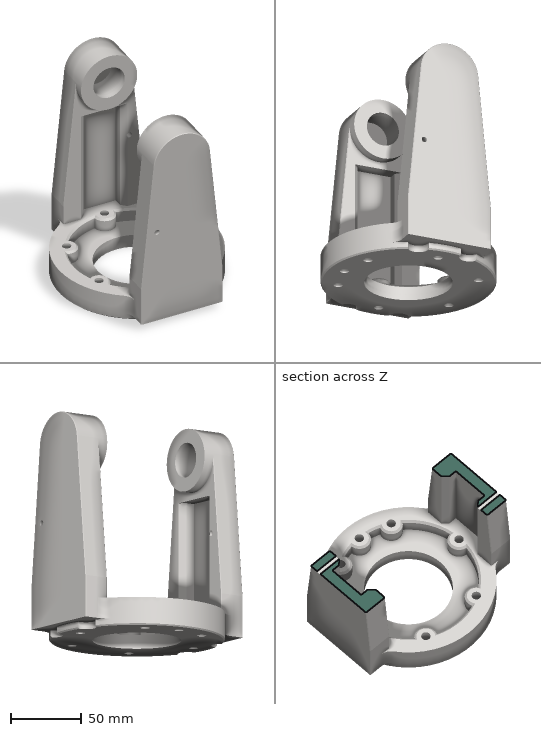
import cadquery as cq
import math

overall_width = 139.0

ring_diameter = 125.0
ring_height = 20.0
ring_bottom_chamfer = 1.0
center_hole_diameter = 63.0
pocket_diameter = 100.0
pocket_depth = 10.0
pocket_edge_chamfer = 1.5

screw_circle_radius = 50.0
screw_angles = (0, 60, 90, 120, 180, 240, 300)
screw_hole_diameter = 6.65
screw_boss_diameter = 16.5

arm_thickness = 19.0
arm_width = 65.0
arm_bottom = 5.0
taper_start = 35.0
arm_edge_chamfer = 0.5
root_fillet_radius = 10.0

pivot_height = 135.0
pivot_diameter = 45.0
pivot_length = 26.5
pivot_bore_diameter = 25.0
pivot_bore_depth = 20.0

channel_mouth_width = 37.0
channel_chamfer = 4.0
channel_depth = 10.5
channel_top = 107.5

cross_hole_diameter = 4.0
cross_hole_offset = 20.0
cross_hole_height = 80.0

scallop_diameter = 15.0
scallop_x = 60.0
scallop_y = 20.0

ring_radius = ring_diameter / 2
pivot_radius = pivot_diameter / 2
arm_half_width = arm_width / 2
outer_face_x = overall_width / 2
inner_face_x = outer_face_x - arm_thickness
pivot_face_x = outer_face_x - pivot_length
pocket_floor = ring_height - pocket_depth
chamfer_start = ring_height - pocket_edge_chamfer


def flared_cylinder(radius, top_radius):
    """Cylinder over the pocket depth whose top edge flares or tapers to top_radius."""
    return (
        cq.Workplane("XZ")
        .moveTo(0, pocket_floor)
        .lineTo(radius, pocket_floor)
        .lineTo(radius, chamfer_start)
        .lineTo(top_radius, ring_height)
        .lineTo(0, ring_height)
        .close()
        .revolve(360, (0, 0, 0), (0, 1, 0))
    )


def screw_positions():
    """Screw hole centres on the bolt circle."""
    return [
        (
            screw_circle_radius * math.cos(math.radians(angle)),
            screw_circle_radius * math.sin(math.radians(angle)),
        )
        for angle in screw_angles
    ]


def make_ring():
    """Plain base ring with a chamfered bottom edge."""
    return (
        cq.Workplane("XY")
        .circle(ring_radius)
        .extrude(ring_height)
        .faces("<Z")
        .edges()
        .chamfer(ring_bottom_chamfer)
    )


def make_pocket():
    """Pocket volume that leaves the screw bosses standing."""
    pocket_radius = pocket_diameter / 2
    boss_radius = screw_boss_diameter / 2
    pocket = flared_cylinder(pocket_radius, pocket_radius + pocket_edge_chamfer)
    boss = flared_cylinder(boss_radius, boss_radius - pocket_edge_chamfer)
    for x, y in screw_positions():
        pocket = pocket.cut(boss.translate((x, y, 0)))
    return pocket


def make_arm_plate():
    """Arm at +X: straight foot, then sides tapering tangentially into a round top."""
    rise = pivot_height - taper_start
    corner_distance = math.hypot(arm_half_width, rise)
    tangent_angle = math.acos(pivot_radius / corner_distance) - math.atan2(rise, arm_half_width)
    tangent_y = pivot_radius * math.cos(tangent_angle)
    tangent_z = pivot_height + pivot_radius * math.sin(tangent_angle)
    return (
        cq.Workplane("YZ", origin=(inner_face_x, 0, 0))
        .moveTo(-arm_half_width, arm_bottom)
        .lineTo(arm_half_width, arm_bottom)
        .lineTo(arm_half_width, taper_start)
        .lineTo(tangent_y, tangent_z)
        .threePointArc((0, pivot_height + pivot_radius), (-tangent_y, tangent_z))
        .lineTo(-arm_half_width, taper_start)
        .close()
        .extrude(arm_thickness)
        .faces("<X or >X")
        .edges("not <Z")
        .chamfer(arm_edge_chamfer)
    )


def make_root_fillet():
    """Web at +X, +Y blending the ring's rim tangentially into the side of the arm."""
    center_y = arm_half_width + root_fillet_radius
    center_distance = ring_radius + root_fillet_radius
    center_x = math.sqrt(center_distance**2 - center_y**2)
    rim_x = center_x * ring_radius / center_distance
    rim_y = center_y * ring_radius / center_distance
    bisector_angle = (math.atan2(rim_y - center_y, rim_x - center_x) - math.pi / 2) / 2
    mid_x = center_x + root_fillet_radius * math.cos(bisector_angle)
    mid_y = center_y + root_fillet_radius * math.sin(bisector_angle)
    inset_y = arm_half_width - arm_edge_chamfer
    return (
        cq.Workplane("XY", origin=(0, 0, arm_bottom))
        .moveTo(rim_x, rim_y)
        .threePointArc((mid_x, mid_y), (center_x, arm_half_width))
        .lineTo(center_x, inset_y)
        .lineTo(rim_x, inset_y)
        .close()
        .extrude(ring_height - arm_bottom)
    )


def make_channel():
    """Channel volume in the inner face of the +X arm, with a chamfered mouth."""
    mouth_y = channel_mouth_width / 2
    wall_y = mouth_y - channel_chamfer
    return (
        cq.Workplane("XY", origin=(inner_face_x, 0, ring_height))
        .moveTo(0, -mouth_y)
        .lineTo(channel_chamfer, -wall_y)
        .lineTo(channel_depth, -wall_y)
        .lineTo(channel_depth, wall_y)
        .lineTo(channel_chamfer, wall_y)
        .lineTo(0, mouth_y)
        .close()
        .extrude(channel_top - ring_height)
    )


def make_arm():
    """Complete arm at +X with its root fillets, pivot boss, bore and cross hole."""
    root_fillet = make_root_fillet()
    pivot_boss = (
        cq.Workplane("YZ", origin=(pivot_face_x, 0, pivot_height))
        .circle(pivot_radius)
        .extrude(pivot_length - arm_edge_chamfer)
    )
    pivot_bore = (
        cq.Workplane("YZ", origin=(pivot_face_x, 0, pivot_height))
        .circle(pivot_bore_diameter / 2)
        .extrude(pivot_bore_depth)
    )
    cross_hole = (
        cq.Workplane("YZ", origin=(inner_face_x, -cross_hole_offset, cross_hole_height))
        .circle(cross_hole_diameter / 2)
        .extrude(arm_thickness)
    )
    return (
        make_arm_plate()
        .union(root_fillet)
        .union(root_fillet.mirror("XZ"))
        .union(pivot_boss)
        .cut(make_channel())
        .cut(pivot_bore)
        .cut(cross_hole)
    )


def make_scallops():
    """Round notches in the ring's rim, reaching up to the underside of the arms."""
    return (
        cq.Workplane("XY")
        .rect(2 * scallop_x, 2 * scallop_y, forConstruction=True)
        .vertices()
        .circle(scallop_diameter / 2)
        .extrude(arm_bottom)
    )


def make_through_holes():
    """Central opening and screw holes through the ring."""
    center_hole = cq.Workplane("XY").circle(center_hole_diameter / 2).extrude(ring_height)
    screw_holes = (
        cq.Workplane("XY")
        .pushPoints(screw_positions())
        .circle(screw_hole_diameter / 2)
        .extrude(ring_height)
    )
    return center_hole.union(screw_holes)


arm = make_arm()
opposite_arm = arm.rotate((0, 0, 0), (0, 0, 1), 180)
result = (
    make_ring()
    .union(arm)
    .union(opposite_arm)
    .cut(make_pocket())
    .cut(make_through_holes())
    .cut(make_scallops())
)